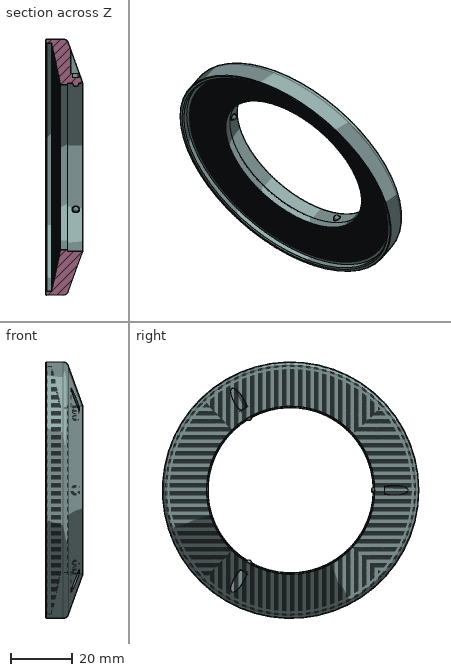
import cadquery as cq
import math

WIDTH = 12.3
OUTER_RADIUS = 42.0

REAR_CHAMFER = 0.25
RIM_WIDTH = 5.8
SHOULDER_RADIUS = 1.8
FRONT_FACE_RADIUS = 27.55

RECESS_RADIUS = 40.6
RECESS_CHAMFER = 0.4
RECESS_DEPTH = 2.0

LIP_REAR_X = 4.7
LIP_RADIUS = 54.0 / 2
SEAT_X = 7.2
SEAT_RADIUS = 55.0 / 2

GROOVE_COUNT = 25
OUTER_GROOVE_RADIUS = 79.05 / 2
GROOVE_PITCH = (OUTER_GROOVE_RADIUS - LIP_RADIUS) / GROOVE_COUNT
LAND_WIDTH = 0.21
LIP_CHAMFER = LAND_WIDTH
FLANK_ANGLE = 30.0

SCREW_COUNT = 3
SCREW_X = 9.9
SCREW_HOLE_DIAMETER = 3.2
SCREW_HEAD_RADIUS = 30.75
SOCKET_DIAMETER = 2.1
SOCKET_DEPTH = 1.3
TIP_DIAMETER = 2.1
SCREW_END_DIAMETER = 2.5


def revolve_about_x(section):
    return section.close().revolve(360, (0, 0, 0), (1, 0, 0))


def ring_body():
    """Outer section: chamfered rim, rounded shoulder and the front cone tangent to it."""
    arc_center_r = OUTER_RADIUS - SHOULDER_RADIUS
    cone_dx = WIDTH - RIM_WIDTH
    cone_dr = FRONT_FACE_RADIUS - arc_center_r
    tangent_angle = math.atan2(cone_dr, cone_dx) + math.acos(SHOULDER_RADIUS / math.hypot(cone_dx, cone_dr))

    def shoulder_point(angle):
        return (
            RIM_WIDTH + SHOULDER_RADIUS * math.cos(angle),
            arc_center_r + SHOULDER_RADIUS * math.sin(angle),
        )

    arc_start_angle = math.pi / 2
    section = (
        cq.Workplane("XY")
        .moveTo(0, 0)
        .lineTo(0, OUTER_RADIUS - REAR_CHAMFER)
        .lineTo(REAR_CHAMFER, OUTER_RADIUS)
        .lineTo(RIM_WIDTH, OUTER_RADIUS)
        .threePointArc(shoulder_point((arc_start_angle + tangent_angle) / 2), shoulder_point(tangent_angle))
        .lineTo(WIDTH, FRONT_FACE_RADIUS)
        .lineTo(WIDTH, 0)
    )
    return revolve_about_x(section)


def grooved_opening():
    """Opening section: chamfered recess, grooved cone, stop lip and lens seat."""
    cone_radius = OUTER_GROOVE_RADIUS + LAND_WIDTH
    cone_slope = (LIP_REAR_X - RECESS_DEPTH) / (cone_radius - LIP_RADIUS - LIP_CHAMFER)
    flank_slope = math.tan(math.radians(FLANK_ANGLE))
    section = (
        cq.Workplane("XY")
        .moveTo(0, 0)
        .lineTo(0, RECESS_RADIUS + RECESS_CHAMFER)
        .lineTo(RECESS_CHAMFER, RECESS_RADIUS)
        .lineTo(RECESS_DEPTH, RECESS_RADIUS)
        .lineTo(RECESS_DEPTH, cone_radius)
    )
    for groove in range(GROOVE_COUNT):
        wall_radius = OUTER_GROOVE_RADIUS - groove * GROOVE_PITCH
        land_radius = wall_radius - GROOVE_PITCH + LAND_WIDTH
        wall_x = RECESS_DEPTH + (cone_radius - wall_radius) * cone_slope
        land_x = RECESS_DEPTH + (cone_radius - land_radius) * cone_slope
        root_x = land_x + (wall_radius - land_radius) * flank_slope
        section = section.lineTo(wall_x, wall_radius).lineTo(root_x, wall_radius).lineTo(land_x, land_radius)
    section = (
        section.lineTo(LIP_REAR_X + LIP_CHAMFER, LIP_RADIUS)
        .lineTo(SEAT_X, LIP_RADIUS)
        .lineTo(SEAT_X, SEAT_RADIUS)
        .lineTo(WIDTH, SEAT_RADIUS)
        .lineTo(WIDTH, 0)
    )
    return revolve_about_x(section)


def radial_cylinder(diameter, inner_radius, outer_radius):
    """Cylinder along +Y through the screw position, between two radii of the ring."""
    base = cq.Workplane("XZ", origin=(SCREW_X, inner_radius, 0))
    return base.circle(diameter / 2).extrude(inner_radius - outer_radius)


screw_cut = (
    radial_cylinder(SCREW_HOLE_DIAMETER, SCREW_HEAD_RADIUS, OUTER_RADIUS)
    .union(radial_cylinder(SOCKET_DIAMETER, SCREW_HEAD_RADIUS - SOCKET_DEPTH, SCREW_HEAD_RADIUS))
    .union(radial_cylinder(SCREW_END_DIAMETER, LIP_RADIUS, SEAT_RADIUS))
)
screw_tip = cq.Workplane("XY").sphere(TIP_DIAMETER / 2).translate((SCREW_X, SEAT_RADIUS, 0))

result = ring_body().cut(grooved_opening())
for screw in range(SCREW_COUNT):
    screw_angle = screw * 360 / SCREW_COUNT
    result = result.cut(screw_cut.rotate((0, 0, 0), (1, 0, 0), screw_angle))
    result = result.union(screw_tip.rotate((0, 0, 0), (1, 0, 0), screw_angle))